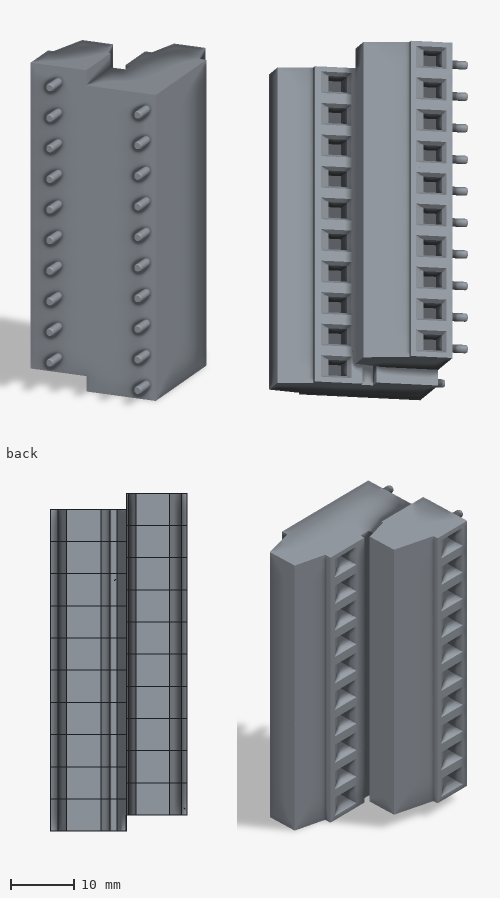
import cadquery as cq

MODULE_COUNT = 10
TOTAL_HEIGHT = 53.3
PITCH = TOTAL_HEIGHT / (MODULE_COUNT + 0.5)
TIER_OFFSET = PITCH / 2

HOUSING_WIDTH = 21.6
TIER_SPLIT_X = 9.6
FRONT_SHOULDER_WIDTH = 0.9
FRONT_TOP_START_X = 2.75
FRONT_TOP_END_X = 8.1
FRONT_SLOPE_END_X = 9.2
FRONT_SHOULDER_Y = 6.75
FRONT_TOP_Y = 13.8
FRONT_BACK_Y = 9.5

REAR_FACE_X = 11.05
REAR_SHOULDER_WIDTH = 1.15
REAR_TOP_INSET = 2.55
NOTCH_BOTTOM_X = 11.9
NOTCH_FLOOR_Y = 10.0
NOTCH_CEILING_Y = 11.95
REAR_SHOULDER_Y = 19.65
REAR_TOP_Y = 25.15

ENTRY_LENGTH = 4.9
ENTRY_HEIGHT = 3.45
MOUTH_DEPTH = 0.9
ENTRY_DEPTH = 4.8
ENTRY_SIDE_INSET = 0.5
ENTRY_TOP_INSET = 1.45
FRONT_ENTRY_Y = 1.0
REAR_ENTRY_Y = 13.75

PIN_DIAMETER = 1.35
PIN_LENGTH = 3.5
PIN_CHAMFER_LENGTH = 0.25
PIN_CHAMFER_INSET = 0.135
FRONT_PIN_X = TIER_SPLIT_X / 2
REAR_PIN_X = 20.0


def tier(outline, bottom_z):
    """Prism one pitch high with the given XY outline."""
    return cq.Workplane("XY").workplane(offset=bottom_z).polyline(outline).close().extrude(PITCH)


def front_tier(bottom_z):
    outline = [
        (0, 0),
        (TIER_SPLIT_X, 0),
        (TIER_SPLIT_X, FRONT_BACK_Y),
        (FRONT_SLOPE_END_X, FRONT_BACK_Y),
        (FRONT_TOP_END_X, FRONT_TOP_Y),
        (FRONT_TOP_START_X, FRONT_TOP_Y),
        (FRONT_SHOULDER_WIDTH, FRONT_SHOULDER_Y),
        (0, FRONT_SHOULDER_Y),
    ]
    return tier(outline, bottom_z)


def rear_tier(bottom_z):
    outline = [
        (TIER_SPLIT_X, 0),
        (HOUSING_WIDTH, 0),
        (HOUSING_WIDTH, REAR_SHOULDER_Y),
        (HOUSING_WIDTH - REAR_SHOULDER_WIDTH, REAR_SHOULDER_Y),
        (HOUSING_WIDTH - REAR_TOP_INSET, REAR_TOP_Y),
        (REAR_FACE_X + REAR_TOP_INSET, REAR_TOP_Y),
        (REAR_FACE_X + REAR_SHOULDER_WIDTH, REAR_SHOULDER_Y),
        (REAR_FACE_X, REAR_SHOULDER_Y),
        (REAR_FACE_X, NOTCH_CEILING_Y),
        (NOTCH_BOTTOM_X, NOTCH_CEILING_Y),
        (NOTCH_BOTTOM_X, NOTCH_FLOOR_Y),
        (TIER_SPLIT_X, NOTCH_FLOOR_Y),
    ]
    return tier(outline, bottom_z)


def wire_entry(face_x, start_y, center_z):
    """Cutter for a tapered mouth and the straight rectangular bore behind it."""
    bore_length = ENTRY_LENGTH - ENTRY_SIDE_INSET - ENTRY_TOP_INSET
    bore_height = ENTRY_HEIGHT - 2 * ENTRY_SIDE_INSET
    mouth_center_y = start_y + ENTRY_LENGTH / 2
    bore_center_y = start_y + ENTRY_SIDE_INSET + bore_length / 2
    mouth = (
        cq.Workplane("YZ", origin=(face_x, mouth_center_y, center_z))
        .rect(ENTRY_LENGTH, ENTRY_HEIGHT)
        .workplane(offset=MOUTH_DEPTH)
        .center(bore_center_y - mouth_center_y, 0)
        .rect(bore_length, bore_height)
        .loft(ruled=True)
    )
    bore = (
        cq.Workplane("YZ", origin=(face_x + MOUTH_DEPTH, bore_center_y, center_z))
        .rect(bore_length, bore_height)
        .extrude(ENTRY_DEPTH - MOUTH_DEPTH)
    )
    return mouth.union(bore)


def solder_pin(center_x, center_z):
    """Round pin pointing to -Y, with a steep chamfer at its tip."""
    radius = PIN_DIAMETER / 2
    half_section = [
        (0, 0),
        (radius, 0),
        (radius, PIN_CHAMFER_LENGTH - PIN_LENGTH),
        (radius - PIN_CHAMFER_INSET, -PIN_LENGTH),
        (0, -PIN_LENGTH),
    ]
    return (
        cq.Workplane("XY", origin=(center_x, 0, center_z))
        .polyline(half_section)
        .close()
        .revolve(360, (0, 0, 0), (0, 1, 0))
    )


def terminal_module(bottom_z):
    """One pole: a low front tier and a tall rear tier, each with a wire entry and a pin."""
    rear_center_z = bottom_z + PITCH / 2
    front_center_z = rear_center_z + TIER_OFFSET
    return (
        rear_tier(bottom_z)
        .union(front_tier(bottom_z + TIER_OFFSET))
        .cut(wire_entry(0, FRONT_ENTRY_Y, front_center_z))
        .cut(wire_entry(REAR_FACE_X, REAR_ENTRY_Y, rear_center_z))
        .union(solder_pin(FRONT_PIN_X, front_center_z))
        .union(solder_pin(REAR_PIN_X, rear_center_z))
    )


modules = [terminal_module(index * PITCH) for index in range(MODULE_COUNT)]

result = cq.Compound.makeCompound([module.val() for module in modules])